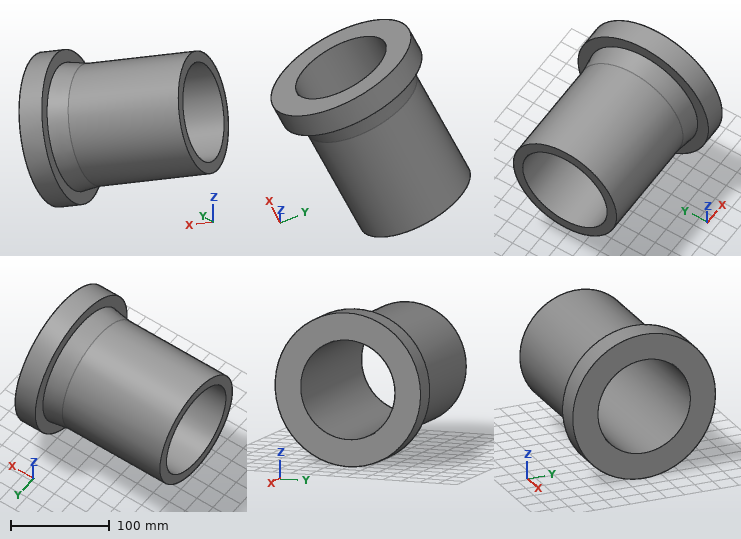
import cadquery as cq

total_length = 169.0
flange_thickness = 25.4
barrel_length = 121.8

bore_diameter = 102.2
barrel_diameter = 125.0
neck_diameter = 131.8
flange_diameter = 158.0

flange_start = total_length - flange_thickness

wall_section = (
    cq.Workplane("XY")
    .moveTo(0, bore_diameter / 2)
    .lineTo(0, barrel_diameter / 2)
    .lineTo(barrel_length, barrel_diameter / 2)
    .lineTo(flange_start, neck_diameter / 2)
    .lineTo(flange_start, flange_diameter / 2)
    .lineTo(total_length, flange_diameter / 2)
    .lineTo(total_length, bore_diameter / 2)
    .close()
)

result = wall_section.revolve(360, (0, 0, 0), (1, 0, 0))